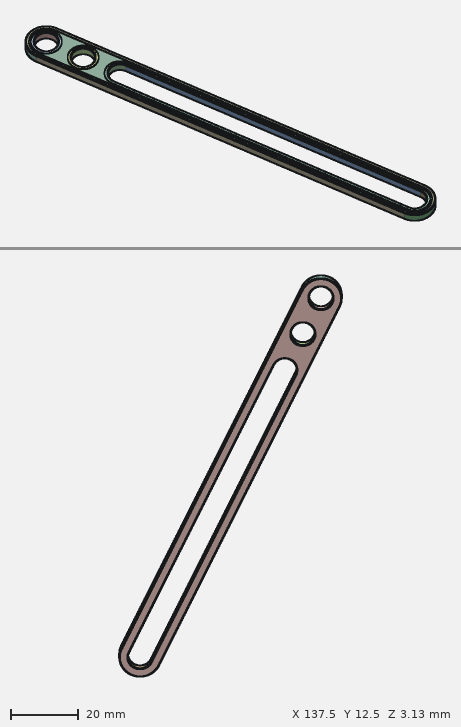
import cadquery as cq

length = 137.5
pitch_count = 11
pitch = length / pitch_count
width = pitch
thickness = width / 4

wall = 2.8
rim_width = 1.1
recess_depth = 0.2
edge_chamfer = 0.3

opening_diameter = width - 2 * wall
collar_diameter = opening_diameter + 2 * rim_width
recess_width = width - 2 * rim_width
floor_z = thickness - recess_depth

first_hole_x = (width - length) / 2
second_hole_x = first_hole_x + pitch
slot_start_x = second_hole_x + pitch
slot_end_x = -first_hole_x


def stadium(start_x, end_x, diameter, bottom_z, height):
    """Upright prism with round ends centred on start_x and end_x."""
    return (
        cq.Workplane("XY", origin=((start_x + end_x) / 2, 0, bottom_z))
        .slot2D(end_x - start_x + diameter, diameter)
        .extrude(height)
    )


def openings(diameter, bottom_z, height):
    """Prisms over both holes and the long slot, all of one width."""
    prisms = stadium(slot_start_x, slot_end_x, diameter, bottom_z, height)
    for hole_x in (first_hole_x, second_hole_x):
        base = cq.Workplane("XY", origin=(hole_x, 0, bottom_z))
        prisms = prisms.union(base.circle(diameter / 2).extrude(height))
    return prisms


bar = stadium(first_hole_x, slot_end_x, width, 0, thickness)
bar = bar.cut(openings(opening_diameter, 0, thickness))
bar = bar.faces("<Z or >Z").chamfer(edge_chamfer)

recess = stadium(first_hole_x, slot_end_x, recess_width, floor_z, recess_depth)
recess = recess.cut(openings(collar_diameter, floor_z, recess_depth))

result = bar.cut(recess)